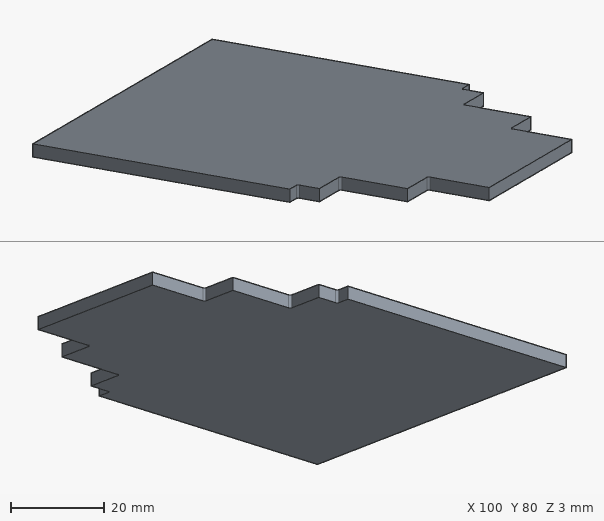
import cadquery as cq

length = 100.0
width = 80.0
thickness = 3.0

shoulders = [
    (63.0, 73.2),
    (68.4, 55.0),
    (85.0, 36.8),
]
corner_radius = 0.5


def make_block(block_length, block_width):
    """Rectangular plate starting at X = 0, centred on Y, resting on Z = 0."""
    return cq.Workplane("XY").box(
        block_length, block_width, thickness, centered=(False, True, False)
    )


def make_stepped_plate():
    """Overlapping blocks, each longer and narrower than the one before."""
    block_width = width
    plate = None
    for shoulder_x, next_width in shoulders:
        block = make_block(shoulder_x, block_width)
        plate = block if plate is None else plate.union(block)
        block_width = next_width
    return plate.union(make_block(length, block_width)).clean()


def fillet_inside_corners(plate):
    """Round the upright edges where each shoulder meets the next narrower step."""
    corners = [
        (shoulder_x, side * next_width / 2, thickness / 2)
        for shoulder_x, next_width in shoulders
        for side in (-1, 1)
    ]
    edges = cq.Workplane("XY")
    for corner in corners:
        edges = edges.add(plate.edges("|Z").edges(cq.NearestToPointSelector(corner)))
    return plate.newObject(edges.vals()).fillet(corner_radius)


result = fillet_inside_corners(make_stepped_plate())